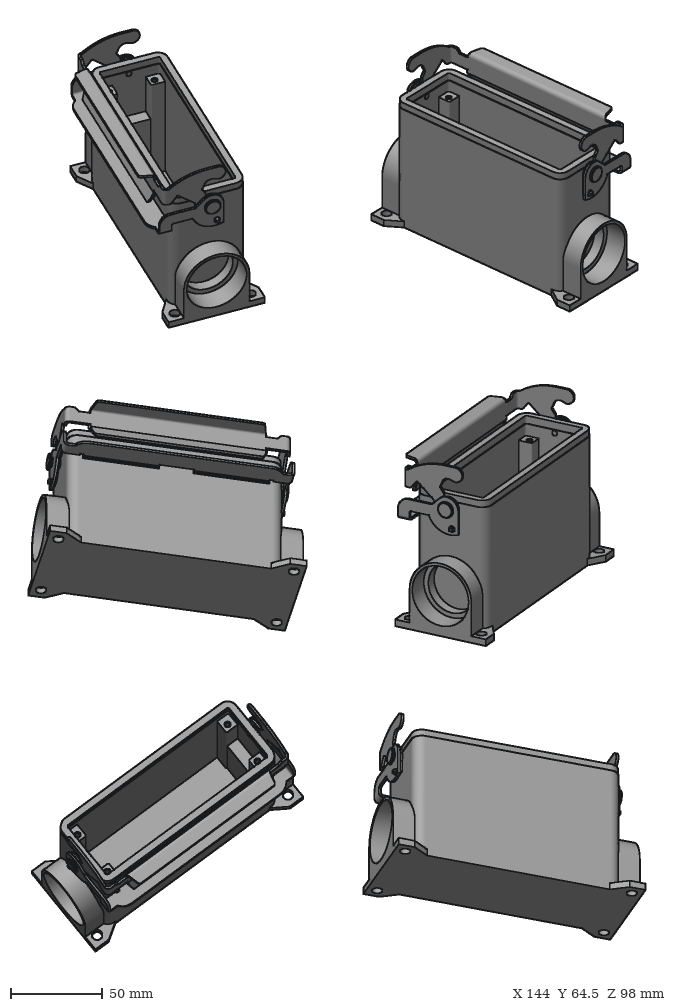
import cadquery as cq
import math

overall_length = 144.0
base_half_width = 28.5
base_thickness = 4.0
half_length = 60.3
half_width = 22.3
corner_radius = 6.2
housing_height = 80.2
rim_start_z = 76.2
rim_inset = 0.3

ear_outer_x = 62.8
ear_inner_x = 53.3
mount_hole_x = 66.1
mount_hole_y = 22.5
mount_hole_radius = 2.9

opening_half_length = 55.9
opening_half_width = 17.9
opening_corner_radius = 0.9
undercut = 0.5
undercut_top_z = 75.3

post_length = 7.3
post_inner_y = 10.0
post_top_z = 68.0
post_corner_radius = 0.9
screw_x = 52.0
screw_y = 13.4
screw_hole_radius = 1.2
screw_chamfer = 0.6
screw_hole_depth = 14.4

gland_radius = 19.5
gland_axis_z = 23.9
gland_bore_radius = 17.7
gland_bore_depth = 13.0
knockout_radius = 14.8
knockout_depth = 6.5
end_block_x = 49.1
end_block_top_z = gland_axis_z + gland_radius

pivot_z = 73.2
sheet = 1.5
bracket_half_length = 64.8
bail_half_length = bracket_half_length - sheet
bail_inner_x = bail_half_length - sheet
bend_overlap = 0.3

shank_radius = 1.6
shoulder_radius = 2.7
neck_radius = 2.7
neck_length = 1.0
head_radius = 4.6
head_chamfer = 0.5
head_outer_x = 67.1

bail_front_y = -28.1
bail_bend_radius = 2.7
bail_bottom_z = 80.4
bail_top_z = 90.7
bail_notch_z = 88.3
bail_notch_top_x = 57.9
bail_notch_floor_x = 55.7
hook_radius = 4.3
hook_y = 4.5
hook_top_z = 98.0
hook_z = hook_top_z - hook_radius
neck_back_y = -2.9
underside_peak_z = 84.8
tail_front_y = -9.0
tail_back_y = 6.0
flange_front_y = -36.0
flange_top_z = 91.5
flange_bend_radius = 1.2
flange_root_x = 49.1
flange_tip_x = 47.1
flange_corner_radius = 1.9
flap_start_z = 78.6
flap_end_y = -31.2
flap_end_z = 71.4
flap_corner_x = 47.1
flap_corner_radius = 1.5
grip_half_length = 50.3

bracket_bottom_z = 60.9
bracket_bend_radius = 2.7
bracket_lobe_radius = 7.0
arm_top_z = 73.9
arm_bottom_z = 67.1
arm_corner_chamfer = 0.9
leg_back_y = -23.6
leg_front_y = -30.8
tongue_front_y = -34.5
tongue_arc_radius = 8.6
tongue_half_length = 51.3
clip_inner_x = 9.6
clip_outer_x = 52.3
clip_bottom_z = 60.0
clip_bend_radius = 1.2
relief_width = 2.0
relief_front_y = -24.6

peg_y = 3.2
peg_z = 61.8
peg_hole_radius = 1.7
peg_width = 2.0
peg_height = 1.6
peg_outer_x = 66.2


def both_ends(shape):
    """Join a shape at the -X end with its mirror image at the +X end."""
    return shape.union(shape.mirror("YZ"))


def block(x0, x1, y0, y1, z0, z1):
    """Rectangular block between opposite corners."""
    return cq.Workplane("XY").box(x1 - x0, y1 - y0, z1 - z0, centered=False).translate((x0, y0, z0))


def rounded_prism(half_x, half_y, radius, z0, z1):
    """Upright prism centred on the Z axis with rounded corners."""
    prism = block(-half_x, half_x, -half_y, half_y, z0, z1)
    return prism.edges("|Z").fillet(radius)


def rod(radius, x0, x1, y, z):
    """Cylinder along X."""
    return cq.Workplane("YZ", origin=(x0, 0, 0)).center(y, z).circle(radius).extrude(x1 - x0)


def plate_at_end(outline, outer_x):
    """Sheet plate at the -X end, made from an outline in the YZ plane."""
    return outline.extrude(sheet).translate((-outer_x, 0, 0))


def symmetric_prism(plane, left_points, depth):
    """Prism whose outline is the given left half and its mirror image about X = 0."""
    right_points = [(-x, v) for x, v in reversed(left_points)]
    return cq.Workplane(plane).polyline(left_points + right_points).close().extrude(depth)


def make_shell():
    wall = rounded_prism(half_length, half_width, corner_radius, 0, rim_start_z)
    rim = rounded_prism(
        half_length - rim_inset, half_width - rim_inset, corner_radius - rim_inset, rim_start_z, housing_height
    )
    return wall.union(rim)


def make_ears():
    end = -overall_length / 2
    outline = [
        (end, -base_half_width),
        (-ear_outer_x, -base_half_width),
        (-ear_inner_x, -half_width),
        (-ear_inner_x, half_width),
        (-ear_outer_x, base_half_width),
        (end, base_half_width),
    ]
    holes = [(-mount_hole_x, mount_hole_y), (-mount_hole_x, -mount_hole_y)]
    ears = cq.Workplane("XY").polyline(outline).close().extrude(base_thickness)
    bores = cq.Workplane("XY").pushPoints(holes).circle(mount_hole_radius).extrude(base_thickness)
    return both_ends(ears.cut(bores))


def make_cable_glands():
    end = -overall_length / 2
    length = overall_length / 2 - ear_inner_x
    gland = rod(gland_radius, end, end + length, 0, gland_axis_z)
    foot = block(end, end + length, -gland_radius, gland_radius, 0, gland_axis_z)
    return both_ends(gland.union(foot))


def make_gland_bores():
    mouth_x = -overall_length / 2
    shoulder_x = mouth_x + gland_bore_depth
    bore = rod(gland_bore_radius, mouth_x, shoulder_x, 0, gland_axis_z)
    knockout = rod(knockout_radius, shoulder_x, shoulder_x + knockout_depth, 0, gland_axis_z)
    return both_ends(bore.union(knockout))


def make_cavity():
    opening = rounded_prism(
        opening_half_length, opening_half_width, opening_corner_radius, base_thickness, housing_height
    )
    chamber = rounded_prism(
        opening_half_length + undercut,
        opening_half_width + undercut,
        opening_corner_radius + undercut,
        base_thickness,
        undercut_top_z,
    )
    end_block = block(-half_length, -end_block_x, -half_width, half_width, 0, end_block_top_z)
    return opening.union(chamber).cut(both_ends(end_block))


def make_screw_posts():
    wall_x = opening_half_length + undercut
    wall_y = opening_half_width + undercut
    post = block(-wall_x, -opening_half_length + post_length, post_inner_y, wall_y, 0, post_top_z)
    post = post.edges("|Z and >X and <Y").fillet(post_corner_radius)
    hole = (
        cq.Workplane("XY", origin=(-screw_x, screw_y, post_top_z - screw_hole_depth))
        .circle(screw_hole_radius)
        .extrude(screw_hole_depth)
    )
    countersink = cq.Workplane(
        cq.Solid.makeCone(
            screw_hole_radius,
            screw_hole_radius + screw_chamfer,
            screw_chamfer,
            pnt=cq.Vector(-screw_x, screw_y, post_top_z - screw_chamfer),
        )
    )
    post = post.cut(hole).cut(countersink)
    return both_ends(post.union(post.mirror("XZ")))


def make_housing():
    body = make_shell().union(make_ears()).union(make_cable_glands())
    body = body.cut(make_cavity()).union(make_screw_posts())
    body = body.cut(make_gland_bores())
    pivot_hole = rod(shank_radius, -half_length, -opening_half_length, 0, pivot_z)
    return body.cut(both_ends(pivot_hole))


def make_bail_sides():
    """Hooked side plates, each with a tail that lies against the bracket."""
    tail_bottom_z = peg_z - peg_height / 2
    web_y = bail_front_y + bail_bend_radius
    outline = (
        cq.Workplane("YZ")
        .moveTo(hook_y, hook_top_z)
        .lineTo(-3.7, hook_top_z)
        .threePointArc((-15.3, 95.9), (web_y, bail_top_z))
        .lineTo(web_y, bail_bottom_z)
        .lineTo(-23.6, bail_bottom_z)
        .lineTo(-19.9, underside_peak_z)
        .lineTo(-19.2, underside_peak_z)
        .lineTo(tail_front_y, 76.2)
        .lineTo(tail_front_y, 70.5)
        .lineTo(0, tail_bottom_z)
        .lineTo(tail_back_y, tail_bottom_z)
        .lineTo(tail_back_y, pivot_z)
        .threePointArc((2.6, pivot_z + 5.5), (neck_back_y, pivot_z + 5.3))
        .lineTo(neck_back_y, 81.4)
        .lineTo(-5.3, 84.8)
        .lineTo(-4.2, 86.8)
        .threePointArc((-0.6, 90.6), (2.2, 90.1))
        .lineTo(hook_y, hook_z - hook_radius)
        .threePointArc((hook_y + hook_radius, hook_z), (hook_y, hook_top_z))
        .close()
    )
    return both_ends(plate_at_end(outline, bail_half_length))


def make_bail_web():
    """Front strip, slightly overlapping the side plates, that joins them round bent corners."""
    back_y = bail_front_y + bail_bend_radius + bend_overlap
    strip = block(-bail_half_length, bail_half_length, bail_front_y, back_y, bail_bottom_z, bail_top_z)
    strip = strip.edges("|Z and <Y").fillet(bail_bend_radius)
    hollow = block(-bail_inner_x, bail_inner_x, bail_front_y + sheet, back_y, bail_bottom_z, bail_top_z)
    hollow = hollow.edges("|Z and <Y").fillet(bail_bend_radius - sheet)
    notch = [(-bail_notch_top_x, bail_top_z), (-bail_notch_floor_x, bail_notch_z)]
    notch_cut = symmetric_prism("XZ", notch, -flange_front_y)
    return strip.cut(hollow).cut(notch_cut)


def make_bail_grip():
    """Middle stretch of the web with a thumb flange on top and a slanted flap below."""
    inner_y = bail_front_y + sheet
    inner_bend = flange_bend_radius * (1 - math.sqrt(0.5))
    outer_radius = flange_bend_radius + sheet
    outer_bend = outer_radius * (1 - math.sqrt(0.5))
    under_z = flange_top_z - sheet
    flap_angle = math.atan2(bail_front_y - flap_end_y, flap_start_z - flap_end_z)
    flap_inner_y = flap_end_y + sheet * math.cos(flap_angle)
    flap_inner_z = flap_end_z - sheet * math.sin(flap_angle)
    section = (
        cq.Workplane("YZ", origin=(-grip_half_length, 0, 0))
        .moveTo(inner_y, flap_start_z - sheet * math.tan(flap_angle / 2))
        .lineTo(inner_y, flange_top_z - outer_radius)
        .threePointArc(
            (inner_y - outer_bend, flange_top_z - outer_bend), (inner_y - outer_radius, flange_top_z)
        )
        .lineTo(flange_front_y, flange_top_z)
        .lineTo(flange_front_y, under_z)
        .lineTo(bail_front_y - flange_bend_radius, under_z)
        .threePointArc(
            (bail_front_y - inner_bend, under_z - inner_bend), (bail_front_y, under_z - flange_bend_radius)
        )
        .lineTo(bail_front_y, flap_start_z)
        .lineTo(flap_end_y, flap_end_z)
        .lineTo(flap_inner_y, flap_inner_z)
        .close()
        .extrude(2 * grip_half_length)
    )
    elevation = [
        (-flange_root_x, flange_top_z),
        (-grip_half_length, bail_notch_z),
        (-grip_half_length, flap_start_z),
        (-flap_corner_x, flap_inner_z),
    ]
    plan = [(-grip_half_length, inner_y), (-flange_root_x, bail_front_y), (-flange_tip_x, flange_front_y)]
    front_shape = symmetric_prism("XZ", elevation, -flange_front_y)
    front_shape = front_shape.edges("|Y and <Z").fillet(flap_corner_radius)
    plan_shape = symmetric_prism("XY", plan, flange_top_z)
    plan_shape = plan_shape.edges("|Z and <Y").fillet(flange_corner_radius)
    return section.intersect(front_shape).intersect(plan_shape)


def make_bracket_sides():
    """Side plates with a lobe round the pivot and an arm that bends down to the floor strip."""
    bend_z = bracket_bottom_z + bracket_bend_radius
    outline = (
        cq.Workplane("YZ")
        .moveTo(bracket_lobe_radius, 59.0)
        .lineTo(bracket_lobe_radius, pivot_z)
        .threePointArc((1.5, pivot_z + 6.9), (-4.3, pivot_z + 5.6))
        .lineTo(-8.8, 74.7)
        .threePointArc((-9.4, 74.0), (-10.1, arm_top_z))
        .lineTo(-24.5, arm_top_z)
        .threePointArc((-29.0, 71.9), (leg_front_y, arm_bottom_z))
        .lineTo(leg_front_y, bend_z)
        .lineTo(leg_back_y, bend_z)
        .lineTo(leg_back_y, arm_bottom_z - arm_corner_chamfer)
        .lineTo(leg_back_y + arm_corner_chamfer, arm_bottom_z)
        .lineTo(-11.4, arm_bottom_z)
        .threePointArc((-4.8, 59.8), (3.5, 58.2))
        .close()
    )
    plate = plate_at_end(outline, bracket_half_length)
    peg_hole = rod(peg_hole_radius, -bracket_half_length, -bail_half_length, peg_y, peg_z)
    return both_ends(plate.cut(peg_hole))


def make_bracket_floor():
    """Floor strip below the arms, with bent ends, a front tongue and wall clips at the back."""
    floor_top_z = bracket_bottom_z + sheet
    bend_top_z = bracket_bottom_z + bracket_bend_radius + bend_overlap
    strip = block(
        -bracket_half_length, bracket_half_length, leg_front_y, leg_back_y, bracket_bottom_z, bend_top_z
    )
    strip = strip.edges("|Y and <Z").fillet(bracket_bend_radius)
    hollow = block(-bail_half_length, bail_half_length, leg_front_y, leg_back_y, floor_top_z, bend_top_z)
    hollow = hollow.edges("|Y and <Z").fillet(bracket_bend_radius - sheet)
    rise = leg_front_y - tongue_front_y
    run = math.sqrt(tongue_arc_radius**2 - (tongue_arc_radius - rise) ** 2)
    half_angle = math.asin(run / tongue_arc_radius) / 2
    mid_x = tongue_half_length + tongue_arc_radius * math.sin(half_angle)
    mid_y = tongue_front_y + tongue_arc_radius * (1 - math.cos(half_angle))
    start_x = tongue_half_length + run
    tongue = (
        cq.Workplane("XY", origin=(0, 0, bracket_bottom_z))
        .moveTo(-start_x, leg_front_y)
        .threePointArc((-mid_x, mid_y), (-tongue_half_length, tongue_front_y))
        .lineTo(tongue_half_length, tongue_front_y)
        .threePointArc((mid_x, mid_y), (start_x, leg_front_y))
        .close()
        .extrude(sheet)
    )
    clip = block(-clip_outer_x, -clip_inner_x, leg_back_y, -half_width, clip_bottom_z, floor_top_z)
    clip = clip.edges(">Z and >Y").fillet(clip_bend_radius)
    reliefs = block(-clip_inner_x, clip_inner_x, relief_front_y, -half_width, bracket_bottom_z, floor_top_z)
    relief = block(
        -clip_outer_x - relief_width, -clip_outer_x, relief_front_y, -half_width, bracket_bottom_z, floor_top_z
    )
    reliefs = reliefs.union(both_ends(relief))
    return strip.cut(hollow).union(tongue).cut(reliefs).union(both_ends(clip))


def make_pivots():
    """Riveted pins through the lever plates and the housing end walls."""
    shank = rod(shank_radius, -bail_half_length, -opening_half_length - undercut, 0, pivot_z)
    shoulder = rod(shoulder_radius, -bail_half_length, -half_length, 0, pivot_z)
    neck = rod(neck_radius, -bracket_half_length - neck_length, -bail_half_length, 0, pivot_z)
    head = rod(head_radius, -head_outer_x, -bracket_half_length - neck_length, 0, pivot_z)
    head = head.edges("<X").chamfer(head_chamfer)
    return both_ends(shank.union(shoulder).union(neck).union(head))


def make_pegs():
    """Stop pegs that stand out from the bail tails through the bracket plates."""
    peg = block(
        -peg_outer_x,
        -bail_inner_x,
        peg_y - peg_width / 2,
        peg_y + peg_width / 2,
        peg_z - peg_height / 2,
        peg_z + peg_height / 2,
    )
    return both_ends(peg)


def make_locking_lever():
    bail = make_bail_sides().union(make_bail_web()).union(make_bail_grip())
    bracket = make_bracket_sides().union(make_bracket_floor())
    return bail.union(bracket).union(make_pivots()).union(make_pegs())


housing = make_housing()
locking_lever = make_locking_lever()
result = cq.Compound.makeCompound([housing.val(), locking_lever.val()])